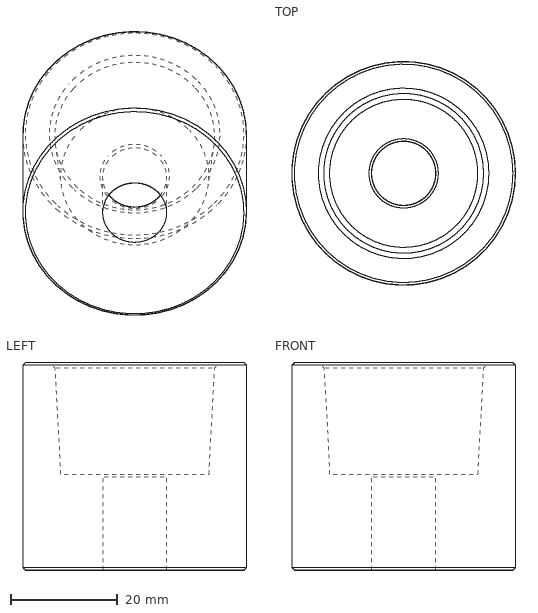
import cadquery as cq

outer_diameter = 42.0
height = 39.0
outer_chamfer = 0.5

mouth_diameter = 32.0
bore_diameter = 30.0
floor_diameter = 27.8
mouth_chamfer = (mouth_diameter - bore_diameter) / 2

floor_height = 18.0

hole_diameter = 12.0
hole_chamfer = 0.5

def make_body():
    """Cylinder with both outer rims chamfered."""
    body = cq.Workplane("XY").circle(outer_diameter / 2).extrude(height)
    return body.faces("<Z or >Z").edges().chamfer(outer_chamfer)

def make_cavity():
    """Tapered bore with a chamfered mouth and a flat floor."""
    profile = [
        (0, floor_height),
        (floor_diameter / 2, floor_height),
        (bore_diameter / 2, height - mouth_chamfer),
        (mouth_diameter / 2, height),
        (0, height),
    ]
    return cq.Workplane("XZ").polyline(profile).close().revolve(360, (0, 0), (0, 1))

def make_floor_hole():
    """Through hole with a chamfer at the cavity floor."""
    radius = hole_diameter / 2
    profile = [
        (0, 0),
        (radius, 0),
        (radius, floor_height - hole_chamfer),
        (radius + hole_chamfer, floor_height),
        (0, floor_height),
    ]
    return cq.Workplane("XZ").polyline(profile).close().revolve(360, (0, 0), (0, 1))

result = make_body().cut(make_cavity()).cut(make_floor_hole())